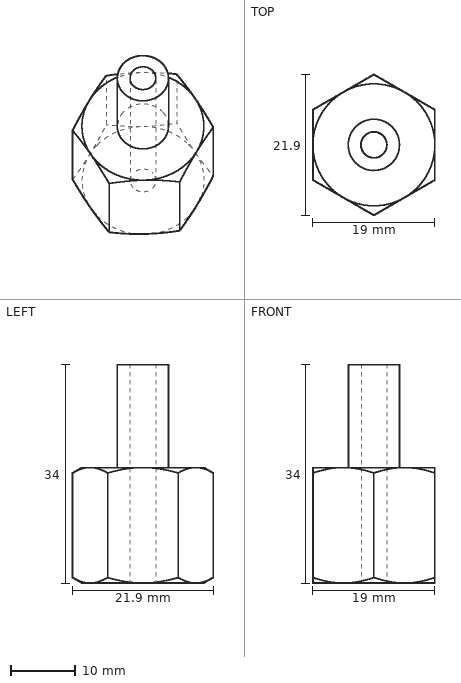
import cadquery as cq
import math

total_height = 34.0
hex_height = 18.0
across_flats = 19.0
stem_diameter = 8.0
bore_diameter = 4.0
chamfer_angle = 30.0

across_corners = across_flats / math.cos(math.radians(30))
flat_radius = across_flats / 2
corner_radius = across_corners / 2
corner_drop = (corner_radius - flat_radius) * math.tan(math.radians(chamfer_angle))


def chamfered_hexagon():
    """Hexagon with corners on Y, its ends turned down to the inscribed circle."""
    prism = (
        cq.Workplane("XY")
        .polygon(6, across_corners)
        .extrude(hex_height)
        .rotate((0, 0, 0), (0, 0, 1), 30)
    )
    envelope = (
        cq.Workplane("XZ")
        .moveTo(0, 0)
        .lineTo(flat_radius, 0)
        .lineTo(corner_radius, corner_drop)
        .lineTo(corner_radius, hex_height - corner_drop)
        .lineTo(flat_radius, hex_height)
        .lineTo(0, hex_height)
        .close()
        .revolve(360, (0, 0, 0), (0, 1, 0))
    )
    return prism.intersect(envelope)


stem = cq.Workplane("XY").circle(stem_diameter / 2).extrude(total_height)

bore = cq.Workplane("XY").circle(bore_diameter / 2).extrude(total_height)

result = chamfered_hexagon().union(stem).cut(bore)